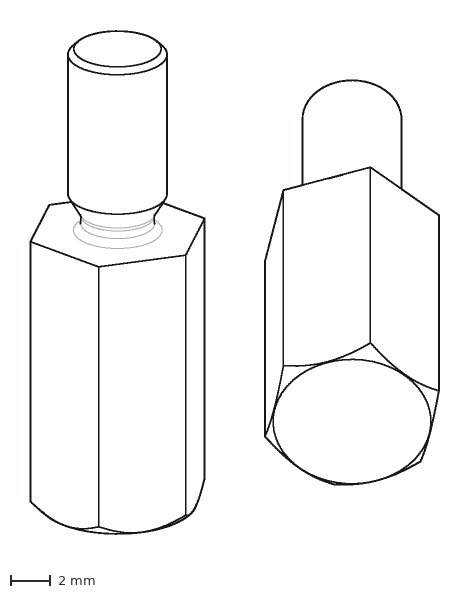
import cadquery as cq
import math

across_flats = 8.0
across_corners = across_flats / math.cos(math.radians(30))
body_height = 15.0
foot_diameter = 7.95

total_height = 25.0
stud_radius = 5.0 / 2
tip_chamfer = 0.3

neck_radius = 3.72 / 2
groove_height = 2.0
fillet_radius = 0.38
runout_angle = math.radians(30)


def hex_body():
    """Hexagonal prism with its bottom corners turned off by a 45 degree cone."""
    prism = cq.Workplane("XY").polygon(6, across_corners).extrude(body_height)
    foot_radius = foot_diameter / 2
    corner_radius = across_corners / 2
    envelope_radius = corner_radius + 0.25
    envelope = (
        cq.Workplane("XZ")
        .lineTo(foot_radius, 0)
        .lineTo(envelope_radius, envelope_radius - foot_radius)
        .lineTo(envelope_radius, body_height)
        .lineTo(0, body_height)
        .close()
        .revolve(360, (0, 0, 0), (0, 1, 0))
    )
    return prism.intersect(envelope)


def stud():
    """Revolved stud with a filleted neck, a conical runout and a chamfered tip."""
    cone_start_radius = neck_radius + fillet_radius * (1 - math.cos(runout_angle))
    cone_top = body_height + groove_height
    cone_start = cone_top - (stud_radius - cone_start_radius) / math.tan(runout_angle)
    upper_fillet_start = cone_start - fillet_radius * math.sin(runout_angle)
    lower_fillet_end = body_height + fillet_radius
    return (
        cq.Workplane("XZ")
        .moveTo(0, body_height)
        .lineTo(neck_radius + fillet_radius, body_height)
        .radiusArc((neck_radius, lower_fillet_end), fillet_radius)
        .lineTo(neck_radius, upper_fillet_start)
        .radiusArc((cone_start_radius, cone_start), fillet_radius)
        .lineTo(stud_radius, cone_top)
        .lineTo(stud_radius, total_height - tip_chamfer)
        .lineTo(stud_radius - tip_chamfer, total_height)
        .lineTo(0, total_height)
        .close()
        .revolve(360, (0, 0, 0), (0, 1, 0))
    )


result = hex_body().union(stud())